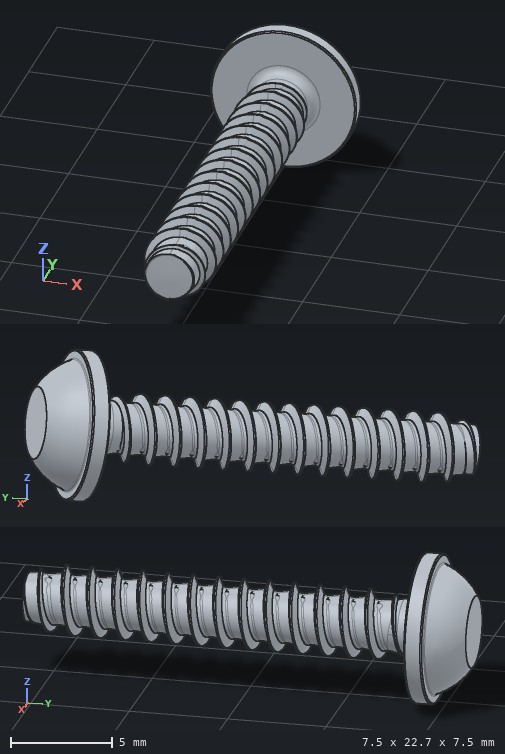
import cadquery as cq
import math


HEAD_HEIGHT = 2.7
FLANGE_DIAMETER = 7.5
FLANGE_THICKNESS = 0.9
FLANGE_EDGE_CHAMFER = 0.07
DOME_BASE_DIAMETER = 6.54
DOME_TOP_DIAMETER = 3.6
DOME_FOOT_FILLET = 0.07

SHANK_LENGTH = 20.0
NECK_DIAMETER = 2.78
NECK_FILLET = 0.5
NECK_END = 0.89
NECK_TAPER_END = 1.5
CORE_DIAMETER = 2.52
TIP_DIAMETER = 2.42
TIP_TAPER_LENGTH = 1.0
TIP_CONE_HEIGHT = 0.06

PITCH = 1.285
THREAD_DIAMETER = 3.5
CREST_WIDTH = 0.09
FIRST_FULL_CREST = 2.29
FULL_TURNS = 12.5
LEAD_IN_TURNS = 1.25
LEAD_IN_HEIGHT = 0.4
RUN_OUT_TURNS = 1.25
RUN_OUT_HEIGHT = 0.06
GROOVE_OFFSET = -0.48
GROOVE_RADIUS = 1.25
HEAD_FOOT_OFFSET = -0.26
HEAD_FOOT_RADIUS = 1.30
TIP_FOOT_OFFSET = 0.18
TIP_FOOT_RADIUS = 1.36
ROOT_RADIUS = 1.1
ROOT_INSET = 0.15
SEGMENT_TURNS = 0.5
STEPS_PER_SEGMENT = 12
TANGENT_STEP = 1e-5


def dome_mid_point():
    """Middle point of the dome arc, whose centre lies on the screw axis."""
    base = DOME_BASE_DIAMETER / 2
    top = DOME_TOP_DIAMETER / 2
    dome_height = HEAD_HEIGHT - FLANGE_THICKNESS
    centre = (top**2 + HEAD_HEIGHT**2 - base**2 - FLANGE_THICKNESS**2) / (2 * dome_height)
    radius = math.hypot(base, FLANGE_THICKNESS - centre)
    base_angle = math.atan2(FLANGE_THICKNESS - centre, base)
    top_angle = math.atan2(HEAD_HEIGHT - centre, top)
    angle = (base_angle + top_angle) / 2
    return radius * math.cos(angle), centre + radius * math.sin(angle)


def make_body():
    """Head and unthreaded shank, revolved about the Y axis."""
    flange = FLANGE_DIAMETER / 2
    neck = NECK_DIAMETER / 2
    core = CORE_DIAMETER / 2
    fillet_mid = NECK_FILLET * (1 - math.sqrt(0.5))
    tip_rim = -SHANK_LENGTH + TIP_CONE_HEIGHT
    blank = (
        cq.Workplane("XY")
        .moveTo(0, HEAD_HEIGHT)
        .lineTo(DOME_TOP_DIAMETER / 2, HEAD_HEIGHT)
        .threePointArc(dome_mid_point(), (DOME_BASE_DIAMETER / 2, FLANGE_THICKNESS))
        .lineTo(flange - FLANGE_EDGE_CHAMFER, FLANGE_THICKNESS)
        .lineTo(flange, FLANGE_THICKNESS - FLANGE_EDGE_CHAMFER)
        .lineTo(flange, FLANGE_EDGE_CHAMFER)
        .lineTo(flange - FLANGE_EDGE_CHAMFER, 0)
        .lineTo(neck + NECK_FILLET, 0)
        .threePointArc((neck + fillet_mid, -fillet_mid), (neck, -NECK_FILLET))
        .lineTo(neck, -NECK_END)
        .lineTo(core, -NECK_TAPER_END)
        .lineTo(core, tip_rim + TIP_TAPER_LENGTH)
        .lineTo(TIP_DIAMETER / 2, tip_rim)
        .lineTo(0, -SHANK_LENGTH)
        .close()
        .revolve(360, (0, 0, 0), (0, 1, 0))
    )
    dome_foot = cq.selectors.BoxSelector(
        (-flange, FLANGE_THICKNESS - DOME_FOOT_FILLET / 2, -flange),
        (flange, FLANGE_THICKNESS + DOME_FOOT_FILLET / 2, flange),
    )
    return blank.edges(dome_foot).edges(cq.selectors.RadiusNthSelector(0)).fillet(DOME_FOOT_FILLET)


def ridge_height(turn):
    """Part of the full ridge height at a turn counted from the first full crest."""
    if turn < 0:
        return 1 + (1 - LEAD_IN_HEIGHT) * turn / LEAD_IN_TURNS
    if turn > FULL_TURNS:
        return 1 - (1 - RUN_OUT_HEIGHT) * (turn - FULL_TURNS) / RUN_OUT_TURNS
    return 1


def helix_point(turn, offset, radius):
    """Point at a turn on the helix of one ridge corner.

    A corner above the groove sinks towards it and closes in on the crest line where the ridge is lower.
    """
    if radius > GROOVE_RADIUS:
        height = ridge_height(turn)
        radius = GROOVE_RADIUS + (radius - GROOVE_RADIUS) * height
        offset = offset * height
    angle = 2 * math.pi * turn
    depth = FIRST_FULL_CREST + PITCH * turn + offset
    return cq.Vector(radius * math.cos(angle), -depth, radius * math.sin(angle))


def helix_direction(turn, corner):
    """Unit tangent of a corner's helix."""
    ahead = helix_point(turn + TANGENT_STEP, *corner)
    behind = helix_point(turn - TANGENT_STEP, *corner)
    return (ahead - behind).normalized()


def helix_edge(start_turn, corner):
    """One segment of a corner's helix."""
    end_turn = start_turn + SEGMENT_TURNS
    step = SEGMENT_TURNS / STEPS_PER_SEGMENT
    points = [helix_point(start_turn + step * index, *corner) for index in range(STEPS_PER_SEGMENT + 1)]
    tangents = [helix_direction(start_turn, corner), helix_direction(end_turn, corner)]
    return cq.Edge.makeSpline(points, tangents=tangents)


def make_thread():
    """Helical ridge: ruled faces between the helices of its corners, closed by two end faces."""
    crest = THREAD_DIAMETER / 2
    groove_end = GROOVE_OFFSET + PITCH
    corners = [
        (GROOVE_OFFSET, GROOVE_RADIUS),
        (HEAD_FOOT_OFFSET, HEAD_FOOT_RADIUS),
        (-CREST_WIDTH / 2, crest),
        (CREST_WIDTH / 2, crest),
        (TIP_FOOT_OFFSET, TIP_FOOT_RADIUS),
        (groove_end, GROOVE_RADIUS),
        (groove_end - ROOT_INSET, ROOT_RADIUS),
        (GROOVE_OFFSET + ROOT_INSET, ROOT_RADIUS),
    ]
    first_turn = -LEAD_IN_TURNS
    last_turn = FULL_TURNS + RUN_OUT_TURNS
    segments = round((last_turn - first_turn) / SEGMENT_TURNS)
    faces = []
    for segment in range(segments):
        start_turn = first_turn + segment * SEGMENT_TURNS
        helices = [helix_edge(start_turn, corner) for corner in corners]
        next_helices = helices[1:] + helices[:1]
        for helix, next_helix in zip(helices, next_helices):
            faces.append(cq.Face.makeRuledSurface(helix, next_helix))
    for turn in (first_turn, last_turn):
        outline = [helix_point(turn, *corner) for corner in corners]
        faces.append(cq.Face.makeFromWires(cq.Wire.makePolygon(outline, close=True)))
    return cq.Workplane(cq.Solid.makeSolid(cq.Shell.makeShell(faces)))


def tip_trim():
    """Block that removes the part of the ridge running past the tip rim."""
    block = FLANGE_DIAMETER
    return cq.Workplane("XY").box(block, block, block).translate(
        (0, -SHANK_LENGTH + TIP_CONE_HEIGHT - block / 2, 0)
    )


thread = make_thread().cut(tip_trim())
result = make_body().union(thread)